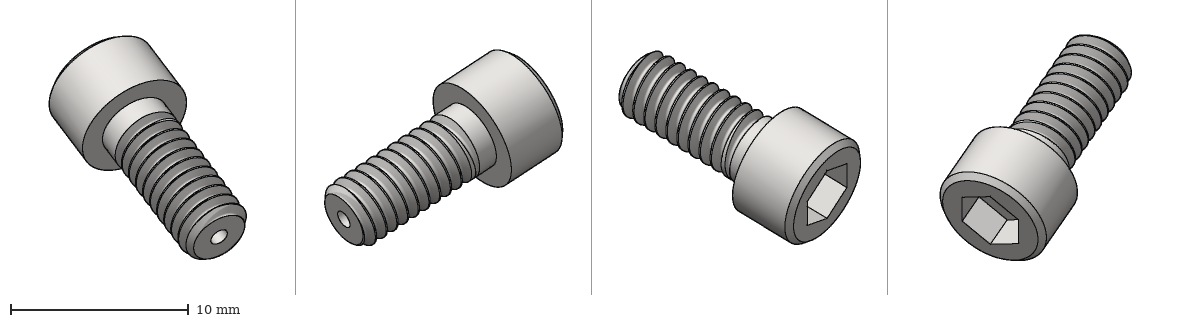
import cadquery as cq
import math

INCH = 25.4

head_diameter = 6.76
head_height = 4.115
head_chamfer = 0.35

socket_across_flats = 9 / 64 * INCH
socket_depth = 0.08 * INCH
vent_diameter = 1.067

major_diameter = 0.164 * INCH
shank_length = 3 / 8 * INCH
tip_chamfer = 0.43

pitch = INCH / 32
thread_start = 2 * pitch
flank_angle = 30
crest_width = pitch / 8
runout_sweep = 135
runout_sections = 10
cutter_overshoot = 0.04

major_radius = major_diameter / 2
tan_flank = math.tan(math.radians(flank_angle))
sharp_height = pitch / 2 / tan_flank
thread_depth = 17 / 24 * sharp_height
root_radius = sharp_height / 6
thread_turns = math.ceil((shank_length - thread_start) / pitch + 0.5)

origin = cq.Vector(0, 0, 0)
x_axis = cq.Vector(1, 0, 0)
y_axis = cq.Vector(0, 1, 0)


def make_head():
    blank = cq.Workplane("YZ").circle(head_diameter / 2).extrude(-head_height)
    return blank.faces("<X").chamfer(head_chamfer)


def make_shank():
    blank = cq.Workplane("YZ").circle(major_radius).extrude(shank_length)
    return blank.faces(">X").chamfer(tip_chamfer)


def make_socket():
    """Hexagonal prism with two corners on the Z axis."""
    across_corners = socket_across_flats / math.cos(math.pi / 6)
    head_face = cq.Workplane("YZ", origin=(-head_height, 0, 0)).transformed(rotate=(0, 0, 90))
    return head_face.polygon(6, across_corners).extrude(socket_depth)


def make_vent():
    head_face = cq.Workplane("YZ", origin=(-head_height, 0, 0))
    return head_face.circle(vent_diameter / 2).extrude(head_height + shank_length)


def groove_profile(middle, lift=0):
    """V groove with a rounded root in the XZ plane, centred at X = middle and raised by lift."""
    mouth_half = (pitch - crest_width) / 2 + cutter_overshoot * tan_flank
    mouth = major_radius + cutter_overshoot + lift
    root = major_radius - thread_depth + lift
    tangent_half = root_radius * math.cos(math.radians(flank_angle))
    tangent = root + root_radius * (1 - math.sin(math.radians(flank_angle)))
    return (
        cq.Workplane("XZ")
        .moveTo(middle - mouth_half, mouth)
        .lineTo(middle - tangent_half, tangent)
        .threePointArc((middle, root), (middle + tangent_half, tangent))
        .lineTo(middle + mouth_half, mouth)
        .close()
    )


def make_groove_turn():
    """First turn of the right-hand helical groove, starting and ending on the +Z side."""
    helix = cq.Wire.makeHelix(pitch, pitch, major_radius)
    path = helix.rotate(origin, y_axis, 90).rotate(origin, x_axis, 180)
    path = path.translate(cq.Vector(thread_start, 0, 0))
    return groove_profile(thread_start).sweep(cq.Workplane(path), isFrenet=True)


def make_runout():
    """Groove continued back toward the head, climbing so that its head-side edge keeps its X."""
    sections = []
    for index in range(runout_sections + 1):
        turn = runout_sweep * index / runout_sections
        retreat = pitch * turn / 360
        section = groove_profile(thread_start - retreat, retreat / tan_flank)
        section_wire = section.wires().val()
        sections.append(section_wire.rotate(origin, x_axis, -turn))
    return cq.Workplane(cq.Solid.makeLoft(sections))


def cut_thread(shank):
    """Cut the thread turn by turn, each turn one pitch beyond the last, then its runout."""
    groove_turn = make_groove_turn()
    for index in range(thread_turns):
        shank = shank.cut(groove_turn.translate((index * pitch, 0, 0)))
    return shank.cut(make_runout())


threaded_shank = cut_thread(make_shank())
screw = make_head().union(threaded_shank).cut(make_socket()).cut(make_vent())
result = screw.solids()